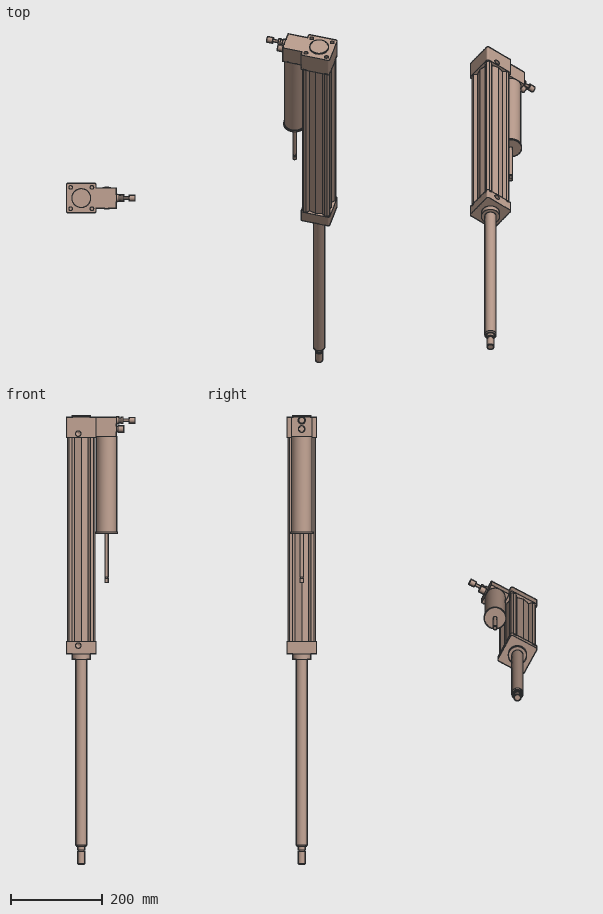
import cadquery as cq
import math


rod_shoulder_z = 39.5
hub_bottom_z = 447.0
end_block_bottom_z = 459.0
tube_bottom_z = 486.0
tube_top_z = 930.0
head_top_z = 975.0
overall_height = 978.0

block_side = 65.0
block_corner_radius = 4.0
hub_diameter = 40.0
cap_diameter = 41.0

screw_spacing = 46.5
screw_hole_diameter = 8.0
screw_hole_depth = 16.0
port_diameter = 12.0
port_depth = 10.0
port_tip_angle = 118.0
port_x = -6.5
port_offset = 9.0

tube_side = 61.0
tube_corner_chamfer = 4.0
channel_mouth_half = 20.5
channel_floor_half = 14.4
ridge_angle = 15.0

motor_x = 55.3
motor_diameter = 45.0
gear_housing_width = 45.0
gear_housing_end_x = 76.5
gear_housing_bottom_z = 933.0
motor_cap_diameter = 48.0
motor_cap_thickness = 4.0
motor_bottom_z = 721.0
motor_cable_diameter = 8.0
motor_cable_end_z = 614.0
cable_groove_diameter = 6.0
cable_groove_bottom_z = 623.0
cable_groove_top_z = 626.0

plug_z = 968.0
plug_steps = [(16.0, 82.0), (11.0, 87.0), (14.5, 91.5), (6.0, 104.5), (13.0, 117.5)]
socket_z = 949.0
socket_steps = [(11.0, 80.0), (14.5, 93.0)]

rod_diameter = 25.0
rod_chamfer = 2.5
rod_top_z = tube_bottom_z
thread_diameter = 16.0
thread_length = 28.0
thread_chamfer = 1.5
relief_diameter = 13.0
neck_diameter = 16.0
neck_bottom_z = 31.0


def cylinder(diameter, bottom_z, top_z, x=0.0):
    """Upright round bar between two heights."""
    return cq.Workplane("XY", origin=(x, 0, bottom_z)).circle(diameter / 2).extrude(top_z - bottom_z)


def square_block(bottom_z, top_z):
    block = cq.Workplane("XY", origin=(0, 0, bottom_z)).rect(block_side, block_side).extrude(top_z - bottom_z)
    return block.edges("|Z").fillet(block_corner_radius)


def tube_outline():
    """Points of one side, from corner to corner, turned four times about the axis."""
    half = tube_side / 2
    flat_end = half - tube_corner_chamfer
    floor_y = half - (channel_mouth_half - channel_floor_half)
    ridge_y = floor_y + channel_floor_half * math.tan(math.radians(ridge_angle))
    side = [
        (-flat_end, -half),
        (-channel_mouth_half, -half),
        (-channel_floor_half, -floor_y),
        (0, -ridge_y),
        (channel_floor_half, -floor_y),
        (channel_mouth_half, -half),
        (flat_end, -half),
    ]
    points = []
    for quarter in range(4):
        turn = math.radians(90 * quarter)
        for x, y in side:
            points.append((x * math.cos(turn) - y * math.sin(turn), x * math.sin(turn) + y * math.cos(turn)))
    return points


def stepped_connector(steps, z):
    """Row of coaxial cylinders pointing along +X from the gear housing."""
    connector = cq.Workplane("YZ")
    start_x = gear_housing_end_x
    for diameter, end_x in steps:
        step = cq.Workplane("YZ", origin=(start_x, 0, z)).circle(diameter / 2).extrude(end_x - start_x)
        connector = connector.union(step)
        start_x = end_x
    return connector


def port(z):
    """Blind drilled hole in the -Y face, with a conical bottom."""
    radius = port_diameter / 2
    tip_length = radius / math.tan(math.radians(port_tip_angle / 2))
    profile = cq.Workplane("XY", origin=(port_x, -block_side / 2, z)).polyline(
        [(0, 0), (radius, 0), (radius, port_depth), (0, port_depth + tip_length)]
    )
    return profile.close().revolve(360, (0, 0, 0), (0, 1, 0))


def make_housing():
    tube = cq.Workplane("XY", origin=(0, 0, tube_bottom_z)).polyline(tube_outline()).close()
    housing = tube.extrude(tube_top_z - tube_bottom_z)
    housing = housing.union(square_block(end_block_bottom_z, tube_bottom_z))
    housing = housing.union(square_block(tube_top_z, head_top_z))
    housing = housing.union(cylinder(hub_diameter, hub_bottom_z, end_block_bottom_z))
    housing = housing.union(cylinder(cap_diameter, head_top_z, overall_height))

    gear_housing = cq.Workplane("XY", origin=(gear_housing_end_x / 2, 0, gear_housing_bottom_z)).rect(
        gear_housing_end_x, gear_housing_width
    )
    housing = housing.union(gear_housing.extrude(head_top_z - gear_housing_bottom_z))
    housing = housing.union(stepped_connector(plug_steps, plug_z))
    housing = housing.union(stepped_connector(socket_steps, socket_z))

    screw_holes = (
        cq.Workplane("XY", origin=(0, 0, head_top_z))
        .rect(screw_spacing, screw_spacing, forConstruction=True)
        .vertices()
        .circle(screw_hole_diameter / 2)
        .extrude(-screw_hole_depth)
    )
    housing = housing.cut(screw_holes)
    for z in (tube_top_z + port_offset, tube_bottom_z - port_offset):
        housing = housing.cut(port(z))
    return housing.cut(cylinder(rod_diameter, hub_bottom_z, rod_top_z))


def make_motor():
    motor = cylinder(motor_diameter, motor_bottom_z, gear_housing_bottom_z, motor_x)
    cap = cylinder(motor_cap_diameter, motor_bottom_z, motor_bottom_z + motor_cap_thickness, motor_x)
    cable = cylinder(motor_cable_diameter, cable_groove_top_z, motor_bottom_z, motor_x)
    groove_core = cylinder(cable_groove_diameter, cable_groove_bottom_z, cable_groove_top_z, motor_x)
    cable_tip = cylinder(motor_cable_diameter, motor_cable_end_z, cable_groove_bottom_z, motor_x)
    return motor.union(cap).union(cable).union(groove_core).union(cable_tip)


def make_rod():
    shaft = cylinder(rod_diameter, rod_shoulder_z, rod_top_z).faces("<Z").chamfer(rod_chamfer)
    neck = cylinder(neck_diameter, neck_bottom_z, rod_shoulder_z)
    relief = cylinder(relief_diameter, thread_length, neck_bottom_z)
    thread = cylinder(thread_diameter, 0, thread_length).faces("<Z").chamfer(thread_chamfer)
    return shaft.union(neck).union(relief).union(thread)


housing = make_housing()
motor = make_motor()
rod = make_rod()

result = cq.Compound.makeCompound([housing.val(), motor.val(), rod.val()])